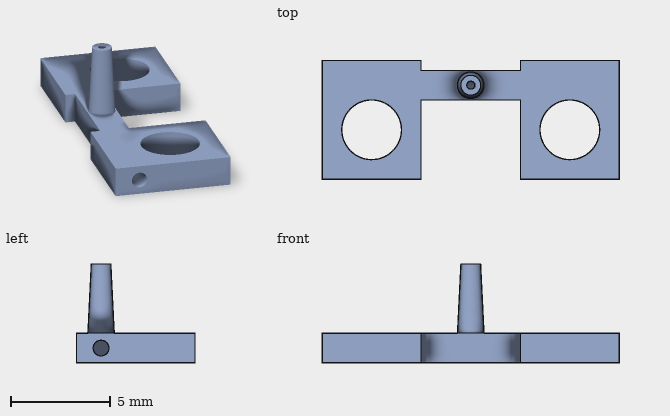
import cadquery as cq

length = 15.0
plate_width = length / 3
plate_depth = 6.0
thickness = 1.5
plate_offset = (length - plate_width) / 2

mount_hole_diameter = 3.0
mount_hole_y = -plate_depth / 12

beam_depth = 1.5
beam_y = plate_depth / 2 - plate_depth / 12 - beam_depth / 2

nozzle_base_diameter = 1.35
nozzle_tip_diameter = 1.0
nozzle_height = length / 3 - thickness
bore_diameter = 0.4

channel_diameter = 0.8
channel_z = thickness / 2
channel_length = length / 2 + bore_diameter / 2


def make_plate(x):
    """Plate centred at x with its mounting hole."""
    plate = cq.Workplane("XY").center(x, 0).rect(plate_width, plate_depth).extrude(thickness)
    hole = (
        cq.Workplane("XY")
        .center(x, mount_hole_y)
        .circle(mount_hole_diameter / 2)
        .extrude(thickness)
    )
    return plate.cut(hole)


def make_beam():
    """Bar filling the gap between the two plates."""
    gap = length - 2 * plate_width
    return cq.Workplane("XY").center(0, beam_y).rect(gap, beam_depth).extrude(thickness)


def make_nozzle():
    """Cone standing on the middle of the beam."""
    return (
        cq.Workplane("XY", origin=(0, beam_y, thickness))
        .circle(nozzle_base_diameter / 2)
        .workplane(offset=nozzle_height)
        .circle(nozzle_tip_diameter / 2)
        .loft()
    )


def make_passage():
    """Horizontal channel and the vertical bore that meets it on its axis."""
    channel = (
        cq.Workplane("YZ", origin=(-length / 2, beam_y, channel_z))
        .circle(channel_diameter / 2)
        .extrude(channel_length)
    )
    bore = (
        cq.Workplane("XY", origin=(0, beam_y, channel_z))
        .circle(bore_diameter / 2)
        .extrude(thickness - channel_z + nozzle_height)
    )
    return channel.union(bore)


body = make_beam()
for side in (-1, 1):
    body = body.union(make_plate(side * plate_offset))

result = body.union(make_nozzle()).cut(make_passage())